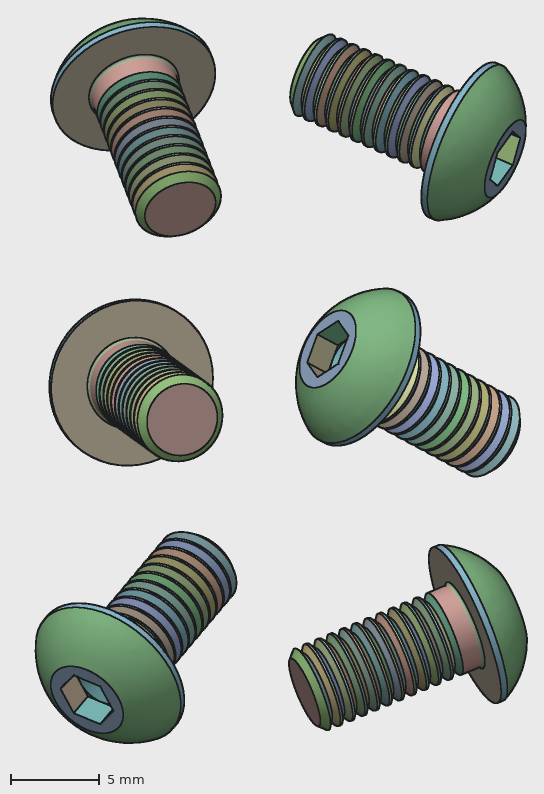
import cadquery as cq
import math

total_length = 12.75
head_radius = 9.5 / 2
head_height = 2.75
rim_width = 0.4
face_radius = 2.37
dome_radius = 5.1

shank_radius = 2.5
neck_fillet_radius = 0.2
neck_fillet_length = 0.19

thread_start = 4.05
groove_count = 11
groove_width = 0.61
crest_width = 0.15
root_radius = 2.09
tip_radius = 2.07

socket_across_flats = 3.0
socket_depth = 1.55
socket_cone_half_angle = 60.0


def dome_midpoint(start, end, radius):
    """Point halfway along the outward arc of the given radius from start to end."""
    dx = end[0] - start[0]
    dr = end[1] - start[1]
    chord = math.hypot(dx, dr)
    bulge = radius - math.sqrt(radius**2 - (chord / 2) ** 2)
    middle_x = (start[0] + end[0]) / 2
    middle_r = (start[1] + end[1]) / 2
    return (middle_x - bulge * dr / chord, middle_r + bulge * dx / chord)


def make_body():
    """Revolve the head, neck and ringed thread from one half outline."""
    face_edge = (0, face_radius)
    rim_edge = (head_height - rim_width, head_radius)
    drop_squared = neck_fillet_radius**2 - neck_fillet_length**2
    fillet_rise = neck_fillet_radius - math.sqrt(drop_squared)
    fillet_start = (head_height, shank_radius + fillet_rise)
    fillet_end = (head_height + neck_fillet_length, shank_radius)

    outline = (
        cq.Workplane("XY")
        .lineTo(*face_edge)
        .threePointArc(dome_midpoint(face_edge, rim_edge, dome_radius), rim_edge)
        .lineTo(head_height, head_radius)
        .lineTo(*fillet_start)
        .radiusArc(fillet_end, -neck_fillet_radius)
    )
    for groove in range(groove_count):
        groove_start = thread_start + groove * (groove_width + crest_width)
        outline = (
            outline.lineTo(groove_start, shank_radius)
            .lineTo(groove_start + groove_width / 2, root_radius)
            .lineTo(groove_start + groove_width, shank_radius)
        )
    outline = outline.lineTo(total_length, tip_radius).lineTo(total_length, 0).close()
    return outline.revolve(360, (0, 0, 0), (1, 0, 0))


def make_socket():
    """Hexagonal socket with flats facing +Z and -Z and a conical bottom."""
    across_corners = socket_across_flats / math.cos(math.radians(30))
    hexagon = cq.Workplane("YZ").polygon(6, across_corners).extrude(socket_depth)
    cone_radius = socket_across_flats / 2
    cone_depth = cone_radius / math.tan(math.radians(socket_cone_half_angle))
    cone = (
        cq.Workplane("XY")
        .moveTo(socket_depth, 0)
        .lineTo(socket_depth, cone_radius)
        .lineTo(socket_depth + cone_depth, 0)
        .close()
        .revolve(360, (0, 0, 0), (1, 0, 0))
    )
    return hexagon.union(cone)


result = make_body().cut(make_socket())